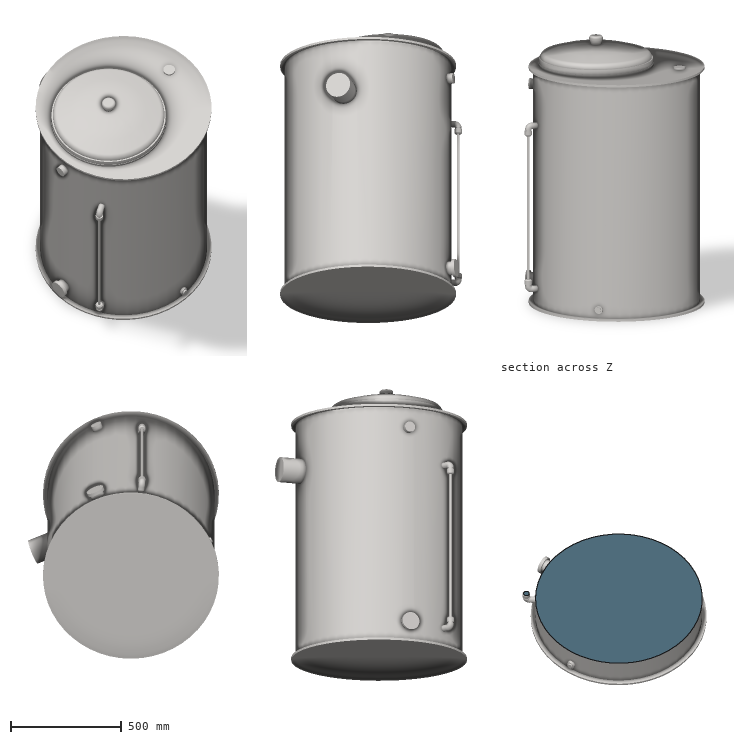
import cadquery as cq
import math

tank_diameter = 760.0
flange_diameter = 800.0
flange_thickness = 10.0
tank_height = 1102.0
tank_radius = tank_diameter / 2

inlet_diameter = 114.0
inlet_height = 851.0
inlet_reach = 484.0

vent_diameter = 48.0
vent_height = 1001.0
vent_reach = 405.0
outlet_neck_diameter = 62.0
outlet_rim_diameter = 80.0
outlet_rim_thickness = 15.0
outlet_height = 90.0
outlet_reach = 418.0

boss_diameter = 53.0
boss_height = 9.0
boss_y = 293.0

drain_height = 51.0
collar_diameter = 36.0
collar_reach = 392.0
plug_diameter = 25.0
plug_reach = 399.0

lid_y = -95.0
lid_radius = 520.0 / 2
lid_base_radius = 262.0
lid_base_height = 11.0
lid_rim_height = 35.0
lid_ledge_width = 6.0
shoulder_radius = 235.0
shoulder_height = 61.0
shoulder_bulge = 4.3
dome_mid_radius = 143.0
dome_mid_height = 85.0
crown_radius = 80.0 / 2
lid_height = 97.0

knob_top = 1240.0
knob_foot_radius = 48.0 / 2
knob_neck_radius = 53.0 / 2
knob_radius = 62.0 / 2
knob_face_radius = 21.0
knob_foot_height = 12.0
knob_neck_height = 9.0
knob_rounding = 10.0
knob_bulge = 1.9

gauge_angle = -60.0
gauge_radius = 422.0
tube_diameter = 12.0
stub_diameter = 29.0
elbow_diameter = 30.0
bend_radius = 16.0
elbow_neck_diameter = 25.0
elbow_neck_length = 6.0
nut_diameter = 33.0
nut_length = 24.0
nut_chamfer = 5.0
upper_elbow_height = inlet_height
lower_elbow_height = outlet_height


def upright_disc(diameter, bottom, top, y=0):
    """A vertical cylinder between two heights."""
    return cq.Workplane("XY", origin=(0, y, bottom)).circle(diameter / 2).extrude(top - bottom)


def side_cylinder(diameter, height, direction, start, end):
    """A horizontal cylinder along a direction from the tank axis, between two distances."""
    axis = cq.Vector(*direction)
    base = axis * start + cq.Vector(0, 0, height)
    return cq.Workplane(cq.Solid.makeCylinder(diameter / 2, end - start, base, axis))


def make_tank():
    left = (-1, 0, 0)
    front = (0, -1, 0)
    right = (1, 0, 0)
    rim_start = outlet_reach - outlet_rim_thickness
    tank = upright_disc(tank_diameter, 0, tank_height)
    tank = tank.union(upright_disc(flange_diameter, 0, flange_thickness))
    tank = tank.union(upright_disc(flange_diameter, tank_height - flange_thickness, tank_height))
    tank = tank.union(upright_disc(boss_diameter, tank_height, tank_height + boss_height, boss_y))
    tank = tank.union(side_cylinder(inlet_diameter, inlet_height, left, 0, inlet_reach))
    tank = tank.union(side_cylinder(vent_diameter, vent_height, front, 0, vent_reach))
    tank = tank.union(side_cylinder(outlet_neck_diameter, outlet_height, front, 0, outlet_reach))
    tank = tank.union(side_cylinder(outlet_rim_diameter, outlet_height, front, rim_start, outlet_reach))
    tank = tank.union(side_cylinder(collar_diameter, drain_height, right, 0, collar_reach))
    return tank.cut(side_cylinder(plug_diameter, drain_height, right, tank_radius, collar_reach))


def make_drain_plug():
    return side_cylinder(plug_diameter, drain_height, (1, 0, 0), tank_radius, plug_reach)


def make_lid():
    ledge_radius = lid_radius - lid_ledge_width
    bulge_point = (
        (ledge_radius + shoulder_radius) / 2 + shoulder_bulge,
        (lid_rim_height + shoulder_height) / 2 + shoulder_bulge,
    )
    return (
        cq.Workplane("XZ", origin=(0, lid_y, tank_height))
        .lineTo(lid_base_radius, 0)
        .lineTo(lid_base_radius, lid_base_height)
        .lineTo(lid_radius, lid_base_height)
        .lineTo(lid_radius, lid_rim_height)
        .lineTo(ledge_radius, lid_rim_height)
        .threePointArc(bulge_point, (shoulder_radius, shoulder_height))
        .threePointArc((dome_mid_radius, dome_mid_height), (crown_radius, lid_height))
        .lineTo(0, lid_height)
        .close()
        .revolve(360, (0, 0), (0, 1))
    )


def make_knob():
    foot = tank_height + lid_height
    neck = foot + knob_foot_height
    cap = neck + knob_neck_height
    shoulder = knob_top - knob_rounding
    middle = (
        (knob_radius + knob_face_radius) / 2 + knob_bulge,
        (shoulder + knob_top) / 2 + knob_bulge,
    )
    return (
        cq.Workplane("XZ", origin=(0, lid_y, 0))
        .moveTo(0, foot)
        .lineTo(knob_foot_radius, foot)
        .lineTo(knob_foot_radius, neck)
        .lineTo(knob_neck_radius, neck)
        .lineTo(knob_neck_radius, cap)
        .lineTo(knob_radius, cap)
        .lineTo(knob_radius, shoulder)
        .threePointArc(middle, (knob_face_radius, knob_top))
        .lineTo(0, knob_top)
        .close()
        .revolve(360, (0, 0), (0, 1))
    )


elbow_drop = bend_radius + elbow_neck_length + nut_length


def make_elbow():
    """An elbow that comes out of the tank along +X and turns down into its nut."""
    bend_start = gauge_radius - bend_radius
    stub = side_cylinder(stub_diameter, 0, (1, 0, 0), 0, bend_start)
    stub = stub.cut(upright_disc(tank_diameter, -elbow_diameter, elbow_diameter))
    bend = (
        cq.Workplane("YZ", origin=(bend_start, 0, 0))
        .circle(elbow_diameter / 2)
        .revolve(90, (-12, -bend_radius), (12, -bend_radius))
    )
    end = cq.Workplane("XY", origin=(gauge_radius, 0, -bend_radius))
    neck = end.circle(elbow_neck_diameter / 2).extrude(-elbow_neck_length)
    nut = (
        end.workplane(offset=-elbow_neck_length)
        .circle(nut_diameter / 2)
        .extrude(-nut_length)
        .faces("<Z")
        .chamfer(nut_chamfer)
    )
    return stub.union(bend).union(neck).union(nut)


def place_on_gauge(body, height):
    return body.rotate((0, 0, 0), (0, 0, 1), gauge_angle).translate((0, 0, height))


def make_tube():
    angle = math.radians(gauge_angle)
    centre = (gauge_radius * math.cos(angle), gauge_radius * math.sin(angle))
    bottom = lower_elbow_height + elbow_drop
    top = upper_elbow_height - elbow_drop
    return upright_disc(tube_diameter, bottom, top).translate((*centre, 0))


tank = make_tank()
drain_plug = make_drain_plug()
lid = make_lid()
knob = make_knob()
tube = make_tube()

elbows = []
for turn, height in ((0, upper_elbow_height), (180, lower_elbow_height)):
    elbow = make_elbow().rotate((0, 0, 0), (1, 0, 0), turn)
    elbows.append(place_on_gauge(elbow, height).val())

result = cq.Compound.makeCompound(
    [tank.val(), drain_plug.val(), lid.val(), knob.val(), tube.val(), *elbows]
)